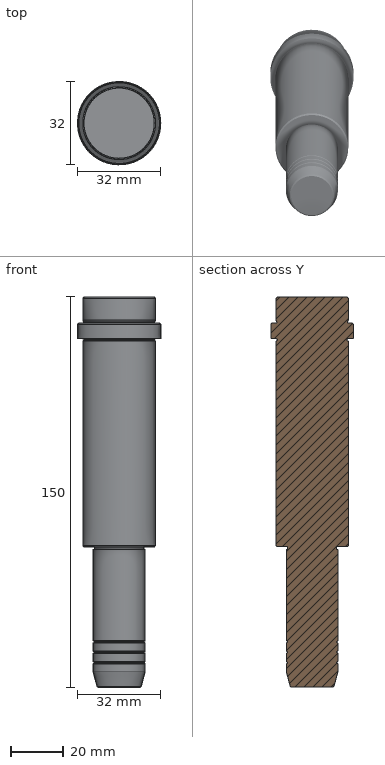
import cadquery as cq
import math

total_length = 150.0
head_length = 10.0
collar_length = 6.0
body_length = 80.0
collar_top = total_length - head_length
collar_bottom = collar_top - collar_length
body_bottom = collar_bottom - body_length

collar_diameter = 32.0
body_diameter = 28.0
pin_diameter = 20.0

edge_chamfer = 0.5
tip_chamfer = 0.4
tip_length = 6.0
tip_half_angle = 15.0
tip_diameter = pin_diameter - 2 * tip_length * math.tan(math.radians(tip_half_angle))

head_relief_width = 1.1
head_relief_depth = 0.4
head_relief_taper = 0.8

collar_relief_width = 1.0
collar_relief_depth = 0.5
collar_relief_taper = 0.3

pin_relief_width = 1.0
pin_relief_depth = 0.5

oil_groove_count = 3
oil_groove_pitch = 4.0
oil_groove_width = 1.0
oil_groove_depth = 0.45
oil_groove_taper = 0.4
first_oil_groove_bottom = 9.0


def cylinder(diameter, bottom, top):
    """Solid cylinder on the Z axis between two heights."""
    return cq.Workplane("XY").workplane(offset=bottom).circle(diameter / 2).extrude(top - bottom)


def ring_groove(diameter, bottom, width, depth, upper_taper=0.0, lower_taper=0.0):
    """Ring to remove from a cylinder; each taper is the height of that sloped side wall."""
    surface = diameter / 2
    floor = surface - depth
    top = bottom + width
    outline = [
        (surface, bottom),
        (floor, bottom + lower_taper),
        (floor, top - upper_taper),
        (surface, top),
    ]
    return cq.Workplane("XZ").polyline(outline).close().revolve(360, (0, 0), (0, 1))


def make_head():
    head = cylinder(body_diameter, collar_top, total_length)
    head = head.faces(">Z").chamfer(edge_chamfer)
    relief = ring_groove(
        body_diameter, collar_top, head_relief_width, head_relief_depth, upper_taper=head_relief_taper
    )
    return head.cut(relief)


def make_collar():
    collar = cylinder(collar_diameter, collar_bottom, collar_top)
    return collar.faces(">Z").chamfer(edge_chamfer)


def make_body():
    body = cylinder(body_diameter, body_bottom, collar_bottom)
    body = body.faces("<Z").chamfer(edge_chamfer)
    relief = ring_groove(
        body_diameter,
        collar_bottom - collar_relief_width,
        collar_relief_width,
        collar_relief_depth,
        collar_relief_taper,
        collar_relief_taper,
    )
    return body.cut(relief)


def make_tip():
    tip = (
        cq.Workplane("XY")
        .circle(tip_diameter / 2)
        .workplane(offset=tip_length)
        .circle(pin_diameter / 2)
        .loft(ruled=True)
    )
    return tip.faces("<Z").chamfer(tip_chamfer)


def make_pin():
    pin = cylinder(pin_diameter, tip_length, body_bottom)
    pin = pin.cut(
        ring_groove(pin_diameter, body_bottom - pin_relief_width, pin_relief_width, pin_relief_depth)
    )
    for index in range(oil_groove_count):
        groove = ring_groove(
            pin_diameter,
            first_oil_groove_bottom + index * oil_groove_pitch,
            oil_groove_width,
            oil_groove_depth,
            oil_groove_taper,
            oil_groove_taper,
        )
        pin = pin.cut(groove)
    return pin.union(make_tip())


result = make_pin().union(make_body()).union(make_collar()).union(make_head())